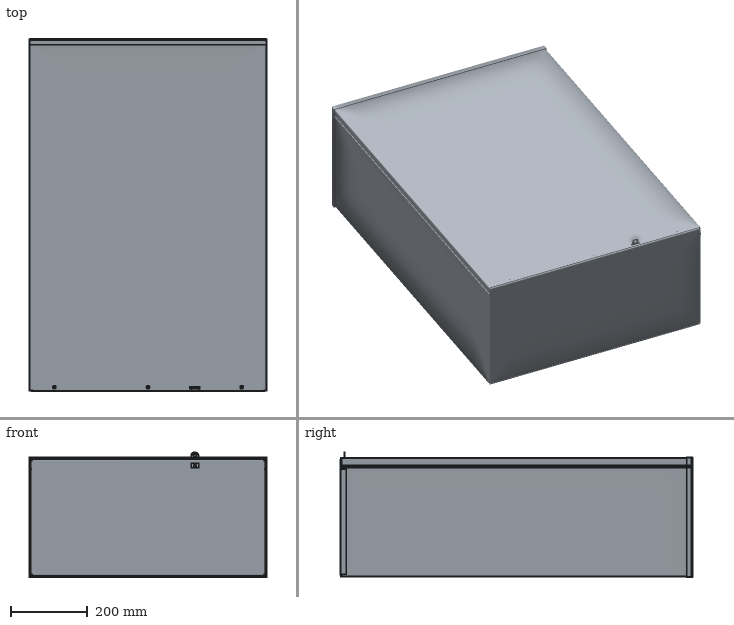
import cadquery as cq

length = 918.0
width = 619.5
sheet = 2.2
bend = 4.0
flange_depth = 16.0

cap_height = 314.0
sheet_setback = 1.4
lid_gap = 1.0

seam_z = 288.0
band_bottom = 285.0
band_top = 292.0
band_projection = 1.65

relief_bottom = 7.8
relief_top = 282.0

screw_spacing = 244.0
screw_places = (-screw_spacing, 0, screw_spacing)
screw_setback = 10.0
screw_head_diameter = 7.9
screw_shank_diameter = 4.9
screw_socket_diameter = 4.3
screw_socket_depth = 1.4
screw_shank_length = 9.0

hasp_x = 122.0
hasp_width = 19.0
hasp_thickness = 2.0
hasp_setback = 10.0
hasp_top = 326.0
hasp_plate_bottom = 285.0
hasp_plate_top = 297.0
hasp_corner = 8.0
seal_hole_diameter = 7.2
seal_hole_z = 318.5
plate_hole_diameter = 6.7
slot_width = 27.0
slot_setback = 5.5
slot_depth = 6.0

front_y = -length / 2
rear_y = length / 2
body_width = width - 2 * sheet
sheet_front_y = front_y + sheet_setback
inner_width = body_width - 2 * sheet
lid_top = cap_height - sheet
lid_underside = lid_top - sheet
panel_top = lid_underside - lid_gap
panel_bottom = 2 * sheet
sheet_end_y = rear_y - bend
screw_y = front_y + screw_setback
head_height = lid_top - panel_top


def block(x0, x1, y0, y1, z0, z1):
    return cq.Workplane("XY").box(x1 - x0, y1 - y0, z1 - z0, centered=False).translate((x0, y0, z0))


def centred_block(block_width, y0, y1, z0, z1):
    return block(-block_width / 2, block_width / 2, y0, y1, z0, z1)


def channel(z0, z1, folded_face):
    """Sheet folded to a U along Y, with its web on the given face."""
    outside = centred_block(body_width, sheet_front_y, sheet_end_y, z0, z1)
    outside = outside.faces(folded_face).edges("|Y").fillet(bend)
    web_below = folded_face == "<Z"
    hollow_bottom = z0 + sheet if web_below else z0 - bend
    hollow_top = z1 + bend if web_below else z1 - sheet
    hollow = centred_block(inner_width, sheet_front_y, sheet_end_y, hollow_bottom, hollow_top)
    hollow = hollow.faces(folded_face).edges("|Y").fillet(bend - sheet)
    return outside.cut(hollow)


def hasp_slot():
    """Cutter for the opening that the hasp blade rises through."""
    slot_y = front_y + slot_setback
    return block(
        hasp_x - slot_width / 2,
        hasp_x + slot_width / 2,
        slot_y,
        slot_y + slot_depth,
        panel_top - bend,
        lid_top,
    )


def screw_shape(x):
    """Countersunk screw without its socket, also the cutter for its hole."""
    head = (
        cq.Workplane("XY", origin=(x, screw_y, lid_top))
        .circle(screw_head_diameter / 2)
        .workplane(offset=-head_height)
        .circle(screw_shank_diameter / 2)
        .loft()
    )
    shank = (
        cq.Workplane("XY", origin=(x, screw_y, panel_top - screw_shank_length))
        .circle(screw_shank_diameter / 2)
        .extrude(screw_shank_length)
    )
    return head.union(shank)


def side_bands():
    """Raised strips along both lower edges of the lid."""
    both = centred_block(body_width + 2 * band_projection, sheet_front_y, sheet_end_y, band_bottom, band_top)
    return both.cut(centred_block(body_width, sheet_front_y, sheet_end_y, band_bottom, band_top))


def make_wrapper():
    """Floor and both side walls."""
    return channel(sheet, seam_z, "<Z")


def make_lid():
    lid = channel(seam_z, lid_top, ">Z").union(side_bands()).cut(hasp_slot())
    for x in screw_places:
        lid = lid.cut(screw_shape(x))
    return lid


def make_front_panel():
    """Front plate with flanges folded back on all four sides."""
    flange_end = front_y + flange_depth
    panel = centred_block(inner_width, front_y, flange_end, panel_bottom, panel_top)
    panel = panel.edges("|Y or <Y").fillet(bend)
    panel = panel.faces(">Y").shell(-sheet)
    for z0, z1 in ((panel_bottom, relief_bottom), (relief_top, panel_top)):
        corners = centred_block(inner_width, front_y + bend, flange_end, z0, z1)
        between = centred_block(inner_width - 2 * bend, front_y, flange_end, z0, z1)
        panel = panel.cut(corners.cut(between))
    panel = panel.cut(hasp_slot())
    for x in screw_places:
        panel = panel.cut(screw_shape(x))
    return panel


def make_rear_cap():
    """Rear plate whose rim wraps around the wrapper and the lid, notched for the side bands."""
    cap = centred_block(width, rear_y - flange_depth, rear_y, 0, cap_height)
    cap = cap.faces(">Y").edges().fillet(bend)
    cap = cap.faces("<Y").shell(-sheet)
    return cap.cut(side_bands())


def make_screw(x):
    socket = (
        cq.Workplane("XY", origin=(x, screw_y, lid_top - screw_socket_depth))
        .circle(screw_socket_diameter / 2)
        .extrude(screw_socket_depth)
    )
    return screw_shape(x).cut(socket)


def make_hasp():
    """Z-shaped strip: a plate behind the front panel, a step back, and a blade with a seal hole."""
    left = hasp_x - hasp_width / 2
    right = hasp_x + hasp_width / 2
    plate_y = front_y + sheet
    blade_y = front_y + hasp_setback
    blade_back = blade_y + hasp_thickness
    step_bottom = hasp_plate_top - hasp_thickness

    plate = block(left, right, plate_y, plate_y + hasp_thickness, hasp_plate_bottom, hasp_plate_top)
    step = block(left, right, plate_y, blade_back, step_bottom, hasp_plate_top)
    blade = block(left, right, blade_y, blade_back, step_bottom, hasp_top)
    blade = blade.faces(">Z").edges("|Y").fillet(hasp_corner)

    seal_hole = (
        cq.Workplane("XZ", origin=(hasp_x, blade_back, seal_hole_z))
        .circle(seal_hole_diameter / 2)
        .extrude(hasp_thickness)
    )
    plate_hole_z = (hasp_plate_bottom + step_bottom) / 2
    plate_hole = (
        cq.Workplane("XZ", origin=(hasp_x, plate_y + hasp_thickness, plate_hole_z))
        .circle(plate_hole_diameter / 2)
        .extrude(hasp_thickness)
    )
    return plate.union(step).union(blade).cut(seal_hole).cut(plate_hole)


wrapper = make_wrapper()
lid = make_lid()
front_panel = make_front_panel()
rear_cap = make_rear_cap()
hasp = make_hasp()
screws = [make_screw(x) for x in screw_places]

result = cq.Compound.makeCompound(
    [
        wrapper.val(),
        lid.val(),
        front_panel.val(),
        rear_cap.val(),
        hasp.val(),
        *[screw.val() for screw in screws],
    ]
)